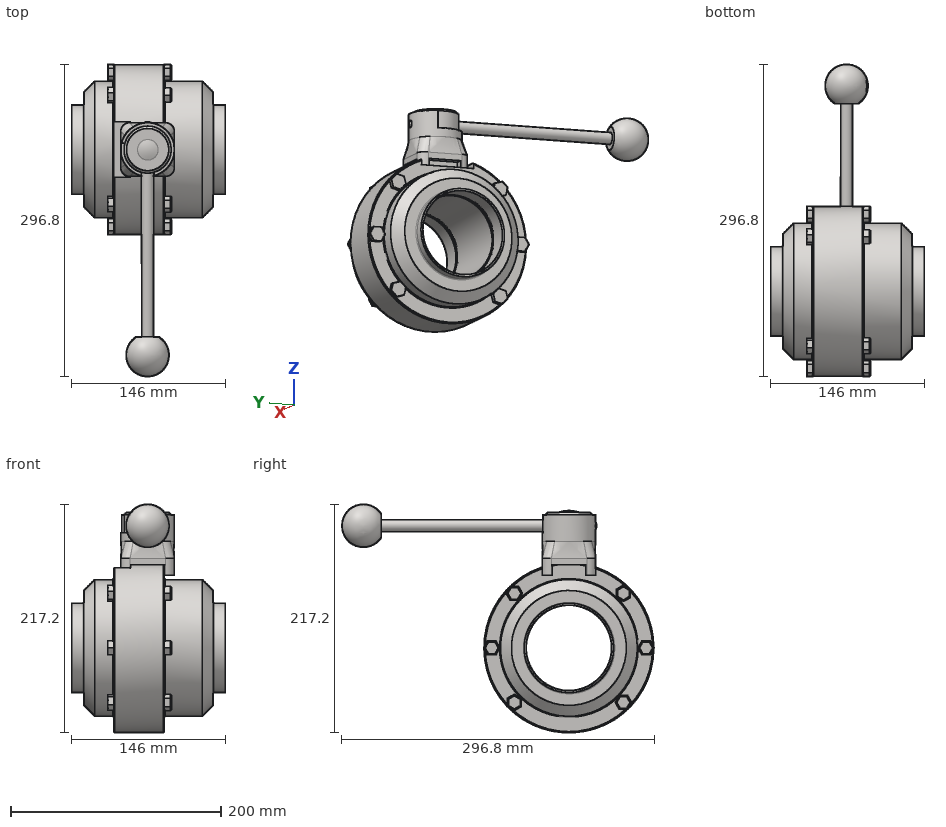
import cadquery as cq
import math


LENGTH = 146.0
PIPE_OD = 85.0
BORE_DIA = 81.0
GROOVE_DIA = 83.0
GROOVE_WIDTH = 3.5
GROOVE_OFFSET = 47.5
BARREL_DIA = 130.0
BARREL_LENGTH = 122.8
BARREL_CHAMFER = 10.5
ROOT_FILLET = 1.0

FLANGE_DIA = 161.4
FLANGE_LEFT = -33.2
FLANGE_RIGHT = 15.0
FLANGE_CHAMFER = 1.2

BOLT_CIRCLE_RADIUS = 73.3
HEX_CORNER_DIA = 15.5
HEAD_HEIGHT = 5.3
NUT_HEIGHT = 6.8
NUT_CHAMFER = 1.2
BOLT_ANGLES = (0, 45, 135, 180, 225, 315)
HEAD_TURN = 30
NUT_TURN = 45

STEM_X = -1.0
NECK_WIDTH = 51.0
NECK_CORNER_RADIUS = 8.5
NECK_FOOT_Z = 68.8
NECK_ARCH_Z = 79.0
NECK_ARCH_WIDTH = 31.7
NECK_SHOULDER_Z = 85.0
NECK_COLLAR_Z = 101.0
TAPER_CORNER_SPAN = 12

POCKET_FLOOR_Z = 71.0
POCKET_WIDTH = 52.8
POCKET_END_X = -17.5

COLLAR_TOP_Z = 126.4
WINDOW_FLOOR_Z = 109.5
WINDOW_OVERSHOOT = 15
HUB_DIA = 44.8
HUB_TOP_Z = 128.7
DOME_DIA = 19.5
DOME_HEIGHT = 1.8

LEVER_Z = 116.0
LEVER_DIA = 11.5
KNOB_DIA = 41.0
KNOB_Y = -195.2
KNOB_FLAT_Y = -178.0
TIP_DIA = 7.0
TIP_HEIGHT = 1.0


def dome(base_dia, height):
    """Spherical cap standing on the XY plane."""
    radius = base_dia / 2
    ball_radius = (radius**2 + height**2) / (2 * height)
    ball = cq.Workplane("XY").sphere(ball_radius).translate((0, 0, height - ball_radius))
    return ball.intersect(cq.Workplane("XY").circle(base_dia).extrude(2 * height))


def x_cylinder(dia, x_start, x_end):
    return cq.Workplane("YZ").workplane(offset=x_start).circle(dia / 2).extrude(x_end - x_start)


def root_fillet(dia, x, direction):
    """Concave ring where a cylinder of the given diameter meets a wall at x."""
    radius = dia / 2
    f = ROOT_FILLET
    middle = f * (1 - math.sqrt(0.5))
    profile = (
        cq.Workplane("XY")
        .moveTo(x, radius - f)
        .lineTo(x, radius + f)
        .threePointArc((x + direction * middle, radius + middle), (x + direction * f, radius))
        .lineTo(x + direction * f, radius - f)
        .close()
    )
    return profile.revolve(360, (0, 0, 0), (1, 0, 0))


def make_body():
    half_barrel = BARREL_LENGTH / 2
    barrel = x_cylinder(BARREL_DIA, -half_barrel, half_barrel).edges().chamfer(BARREL_CHAMFER)
    flange = x_cylinder(FLANGE_DIA, FLANGE_LEFT, FLANGE_RIGHT).edges().chamfer(FLANGE_CHAMFER)
    body = barrel.union(flange).union(x_cylinder(PIPE_OD, -LENGTH / 2, LENGTH / 2))
    body = body.union(root_fillet(PIPE_OD, -half_barrel, -1))
    body = body.union(root_fillet(PIPE_OD, half_barrel, 1))
    body = body.union(root_fillet(BARREL_DIA, FLANGE_LEFT, -1))
    body = body.union(root_fillet(BARREL_DIA, FLANGE_RIGHT, 1))
    pocket = cq.Workplane("XY").box(
        POCKET_END_X - FLANGE_LEFT, POCKET_WIDTH, FLANGE_DIA, centered=(False, True, False)
    )
    return body.cut(pocket.translate((FLANGE_LEFT, 0, POCKET_FLOOR_Z)))


def cut_bore(body):
    body = body.cut(x_cylinder(BORE_DIA, -LENGTH / 2, LENGTH / 2))
    for middle in (-GROOVE_OFFSET, GROOVE_OFFSET):
        body = body.cut(x_cylinder(GROOVE_DIA, middle - GROOVE_WIDTH / 2, middle + GROOVE_WIDTH / 2))
    return body


def make_bolts():
    bolts = cq.Workplane("XY")
    for angle in BOLT_ANGLES:
        diagonal = angle % 180 != 0
        head_turn = HEAD_TURN if diagonal else 0
        nut_turn = NUT_TURN if diagonal else 0
        head = cq.Workplane("YZ").polygon(6, HEX_CORNER_DIA).extrude(-HEAD_HEIGHT)
        head = head.translate((FLANGE_LEFT, 0, 0))
        nut = cq.Workplane("YZ").polygon(6, HEX_CORNER_DIA).extrude(NUT_HEIGHT)
        nut = nut.faces(">X").chamfer(NUT_CHAMFER).translate((FLANGE_RIGHT, 0, 0))
        for piece, turn in ((head, head_turn), (nut, nut_turn)):
            piece = piece.rotate((0, 0, 0), (1, 0, 0), turn)
            piece = piece.translate((0, BOLT_CIRCLE_RADIUS, 0))
            bolts = bolts.add(piece.rotate((0, 0, 0), (1, 0, 0), angle))
    return bolts.combine()


def polar(radius, angle, z):
    a = math.radians(angle)
    return cq.Vector(radius * math.cos(a), radius * math.sin(a), z)


def make_taper():
    """Transition from the rounded square shoulder to the round collar."""
    half = NECK_WIDTH / 2
    flat = half - NECK_CORNER_RADIUS
    corner_reach = flat * math.sqrt(2) + NECK_CORNER_RADIUS
    square_edges = []
    circle_edges = []
    for quarter in range(4):
        middle = 90 * quarter
        corner = middle + 45
        flat_reach = math.hypot(half, flat)
        flat_angle = math.degrees(math.atan2(flat, half))
        start = polar(flat_reach, middle - flat_angle, NECK_SHOULDER_Z)
        end = polar(flat_reach, middle + flat_angle, NECK_SHOULDER_Z)
        next_start = polar(flat_reach, middle + 90 - flat_angle, NECK_SHOULDER_Z)
        corner_point = polar(corner_reach, corner, NECK_SHOULDER_Z)
        square_edges.append(cq.Edge.makeLine(start, end))
        square_edges.append(cq.Edge.makeThreePointArc(end, corner_point, next_start))

        arc_angles = (
            corner - 90 + TAPER_CORNER_SPAN,
            corner - TAPER_CORNER_SPAN,
            corner + TAPER_CORNER_SPAN,
        )
        first, second, third = [polar(half, a, NECK_COLLAR_Z) for a in arc_angles]
        face_point = polar(half, middle, NECK_COLLAR_Z)
        edge_point = polar(half, corner, NECK_COLLAR_Z)
        circle_edges.append(cq.Edge.makeThreePointArc(first, face_point, second))
        circle_edges.append(cq.Edge.makeThreePointArc(second, edge_point, third))
    square = cq.Wire.assembleEdges(square_edges)
    circle = cq.Wire.assembleEdges(circle_edges)
    return cq.Workplane(cq.Solid.makeLoft([square, circle], True))


def make_neck():
    foot_height = NECK_SHOULDER_Z - NECK_FOOT_Z
    arch_height = NECK_ARCH_Z - NECK_FOOT_Z
    foot = cq.Workplane("XY").rect(NECK_WIDTH, NECK_WIDTH).extrude(foot_height)
    foot = foot.edges("|Z").fillet(NECK_CORNER_RADIUS)
    for size in ((NECK_WIDTH, NECK_ARCH_WIDTH), (NECK_ARCH_WIDTH, NECK_WIDTH)):
        foot = foot.cut(cq.Workplane("XY").rect(*size).extrude(arch_height))
    return foot.translate((0, 0, NECK_FOOT_Z)).union(make_taper())


def make_collar():
    radius = NECK_WIDTH / 2
    collar = cq.Workplane("XY").workplane(offset=NECK_COLLAR_Z).circle(radius)
    collar = collar.extrude(COLLAR_TOP_Z - NECK_COLLAR_Z)
    start = polar(NECK_WIDTH, 180 - WINDOW_OVERSHOOT, 0)
    middle = polar(NECK_WIDTH, 225, 0)
    end = polar(NECK_WIDTH, 270 + WINDOW_OVERSHOOT, 0)
    window = (
        cq.Workplane("XY")
        .workplane(offset=WINDOW_FLOOR_Z)
        .lineTo(start.x, start.y)
        .threePointArc((middle.x, middle.y), (end.x, end.y))
        .close()
        .extrude(COLLAR_TOP_Z - WINDOW_FLOOR_Z)
    )
    hub = cq.Workplane("XY").workplane(offset=NECK_COLLAR_Z).circle(HUB_DIA / 2)
    hub = hub.extrude(HUB_TOP_Z - NECK_COLLAR_Z)
    hub = hub.faces(">Z").chamfer(HUB_TOP_Z - COLLAR_TOP_Z)
    cap = dome(DOME_DIA, DOME_HEIGHT).translate((0, 0, HUB_TOP_Z))
    tip = dome(TIP_DIA, TIP_HEIGHT).rotate((0, 0, 0), (1, 0, 0), -90)
    pin = cq.Workplane("XZ").circle(TIP_DIA / 2).extrude(-radius)
    pin = pin.union(tip.translate((0, radius, 0))).translate((0, 0, LEVER_Z))
    return collar.cut(window).union(hub).union(cap).union(pin)


def make_lever():
    rod = cq.Workplane("XZ").circle(LEVER_DIA / 2).extrude(-KNOB_Y)
    knob = cq.Workplane("XY").sphere(KNOB_DIA / 2).translate((0, KNOB_Y, 0))
    trim = cq.Workplane("XZ").workplane(offset=-KNOB_FLAT_Y).circle(KNOB_DIA).extrude(-KNOB_DIA)
    return knob.cut(trim).union(rod).translate((0, 0, LEVER_Z))


stem = make_neck().union(make_collar()).union(make_lever()).translate((STEM_X, 0, 0))
result = cut_bore(make_body().union(stem)).union(make_bolts())